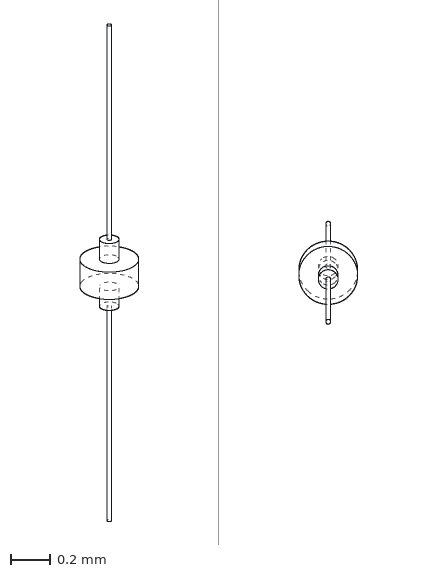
import cadquery as cq

disc_diameter = 0.30
disc_height = 0.155
hub_diameter = 0.10
hub_height = 0.38
wire_diameter = 0.025
wire_length = 2.81


def centred_cylinder(diameter, height):
    """Cylinder on the Z axis, centred on the origin."""
    return cq.Workplane("XY").cylinder(height, diameter / 2)


disc = centred_cylinder(disc_diameter, disc_height)
hub = centred_cylinder(hub_diameter, hub_height)
wire = centred_cylinder(wire_diameter, wire_length)

result = disc.union(hub).union(wire)